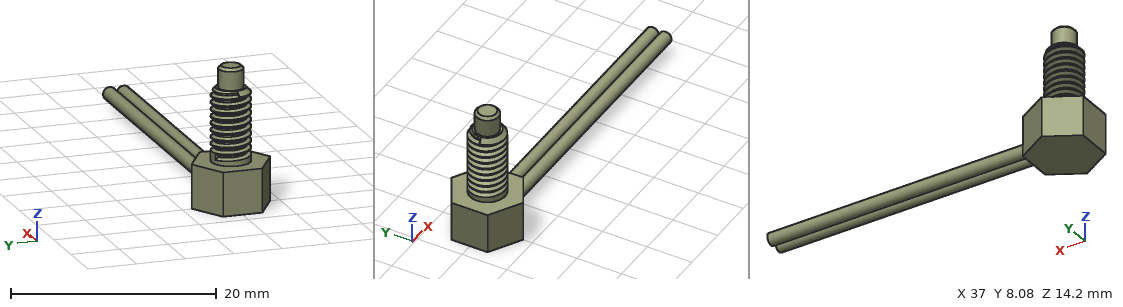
import cadquery as cq
import math

total_length = 37.0
total_height = 14.2

head_across_flats = 7.0
head_height = 4.5
head_across_corners = head_across_flats / math.cos(math.radians(30))

shank_diameter = 3.95
shank_chamfer = 0.48
tip_diameter = 2.5
tip_length = 2.22
tip_chamfer = 0.3
shoulder_height = total_height - tip_length

pitch = 0.7
thread_depth = 0.4
crest_width = pitch / 8
root_width = pitch / 4
thread_start_height = 5.25
thread_end_height = 11.73
thread_start_angle = 110
cutter_overlap = 0.05

wire_diameter = 1.37
wire_spacing = 1.45
wire_height = 1.45
wire_end = total_length - head_across_flats / 2


def make_head():
    hexagon = cq.Workplane("XY").polygon(6, head_across_corners)
    return hexagon.extrude(head_height).rotate((0, 0, 0), (0, 0, 1), 30)


def make_shank():
    shank = cq.Workplane("XY").circle(shank_diameter / 2).extrude(shoulder_height)
    return shank.faces(">Z").edges().chamfer(shank_chamfer)


def make_tip():
    tip = cq.Workplane("XY").circle(tip_diameter / 2).extrude(total_height)
    return tip.faces(">Z").edges().chamfer(tip_chamfer)


def make_thread_groove():
    """Trapezoid swept along a helix, ending within the shoulder chamfer."""
    crest_radius = shank_diameter / 2
    root_radius = crest_radius - thread_depth
    outer_radius = crest_radius + cutter_overlap
    half_root = root_width / 2
    half_mouth = (pitch - crest_width) / 2
    flank_slope = (half_mouth - half_root) / thread_depth
    half_outer = half_mouth + flank_slope * cutter_overlap
    helix_height = thread_end_height - thread_start_height
    helix = cq.Wire.makeHelix(pitch, helix_height, crest_radius)
    profile = cq.Workplane("XZ").polyline([
        (root_radius, -half_root),
        (outer_radius, -half_outer),
        (outer_radius, half_outer),
        (root_radius, half_root),
    ]).close()
    groove = profile.sweep(cq.Workplane(obj=helix), isFrenet=True)
    groove = groove.rotate((0, 0, 0), (0, 0, 1), thread_start_angle)
    return groove.translate((0, 0, thread_start_height))


def make_wire(y):
    section = cq.Workplane("YZ").center(y, wire_height).circle(wire_diameter / 2)
    return section.extrude(wire_end)


threaded_shank = make_shank().cut(make_thread_groove())
result = make_head().union(threaded_shank).union(make_tip())
for side in (-1, 1):
    result = result.union(make_wire(side * wire_spacing / 2))